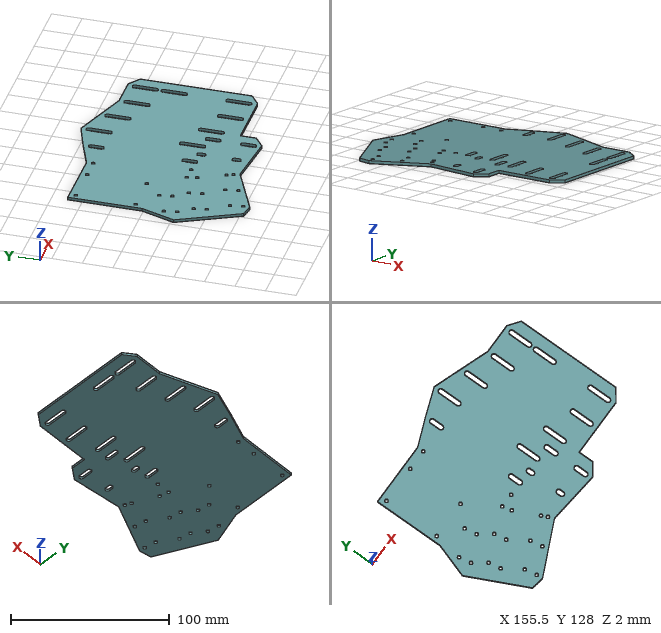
import cadquery as cq
import math

length = 155.5
width = 128.0
thickness = 2.0
top_peak_x = 89.0
top_bend = (70.1, 121.2)
right_shoulder = (127.2, 114.0)
left_shoulder_x = 51.0
left_shoulder_y = 113.5
left_edge_x = 7.6
left_edge_foot_y = 64.9
left_corner_y = 42.0
wing_corner = (19.3, 1.5)
wing_tip_x = 28.0
inner_corner = (64.1, 16.6)
step_x = 108.0
step_y = 29.1
chamfer_x = 7.8
chamfer_y = 5.8
step_foot_y = 18.5

pitch = 19.0
first_column_x = 70.1
upper_row_shift = 61.3
lower_row_shift = 23.2
slot_width = 3.3
long_slot = 17.0
medium_slot = 10.1
short_slot = 5.8

paired_slots = [
    (0, 51.3, medium_slot),
    (2, 54.9, long_slot),
    (4, 48.0, long_slot),
    (6, 40.9, long_slot),
    (8, 40.9, long_slot),
]
stepped_slots = [
    (1, 46.5, short_slot),
    (3, 44.2, medium_slot),
]
last_column = 8

hole_diameter = 2.2
square_corner = (11.4, 70.1)
square_size = (25.7, 39.0)
upper_hole = (51.0, 109.2)
middle_hole = (52.5, 41.5)
side_hole = (60.5, 47.7)

tilt = math.radians(25)
grid_origin = (8.4, 50.7)
row_distances = (0, pitch, pitch + lower_row_shift)
column_distances = (0, pitch)
pair_offset = (-2.2, 8.1)


def tilted(across, down, origin=grid_origin):
    """Point reached from the origin by moving along the tilted grid axes."""
    x = origin[0] + across * math.cos(tilt) + down * math.sin(tilt)
    y = origin[1] + across * math.sin(tilt) - down * math.cos(tilt)
    return (x, y)


def make_plate():
    outline = [
        (0, left_corner_y),
        (left_edge_x, left_edge_foot_y),
        (left_edge_x, left_shoulder_y),
        (left_shoulder_x, left_shoulder_y),
        top_bend,
        (top_peak_x, width),
        right_shoulder,
        (length - chamfer_x, right_shoulder[1]),
        (length, right_shoulder[1] - chamfer_y),
        (length, step_y + chamfer_y),
        (length - chamfer_x, step_y),
        (step_x, step_y),
        (step_x, step_foot_y),
        (step_x - chamfer_x, step_foot_y - chamfer_y),
        inner_corner,
        (wing_tip_x, 0),
        wing_corner,
    ]
    return cq.Workplane("XY").polyline(outline).close().extrude(thickness)


def slot_positions():
    """Every slot as (x, y, length)."""
    slots = []
    for column, y, slot_length in paired_slots:
        x = first_column_x + column * pitch / 2
        slots.append((x, y, slot_length))
        slots.append((x, y + upper_row_shift, slot_length))
        if column == last_column:
            slots.append((x, y + upper_row_shift - pitch, slot_length))
    for column, y, slot_length in stepped_slots:
        x = first_column_x + column * pitch / 2
        slots.append((x, y, slot_length))
        slots.append((x, y - lower_row_shift, slot_length))
    return slots


def hole_positions():
    holes = []
    for dx in (0, square_size[0]):
        for dy in (0, square_size[1]):
            holes.append((square_corner[0] + dx, square_corner[1] + dy))
    for across in column_distances:
        for down in row_distances:
            holes.append(tilted(across, down))
            holes.append(tilted(across + pair_offset[0], down + pair_offset[1]))
    holes.append(upper_hole)
    holes.append((upper_hole[0], upper_hole[1] - upper_row_shift))
    holes.append(side_hole)
    holes.append((side_hole[0], side_hole[1] - lower_row_shift))
    holes.append(middle_hole)
    holes.append(tilted(0, lower_row_shift, middle_hole))
    return holes


def cut_slots(plate):
    for x, y, slot_length in slot_positions():
        slot = (
            cq.Workplane("XY")
            .center(x, y)
            .slot2D(slot_length, slot_width, 90)
            .extrude(thickness)
        )
        plate = plate.cut(slot)
    return plate


def drill_holes(plate):
    drills = (
        cq.Workplane("XY")
        .pushPoints(hole_positions())
        .circle(hole_diameter / 2)
        .extrude(thickness)
    )
    return plate.cut(drills)


result = drill_holes(cut_slots(make_plate()))